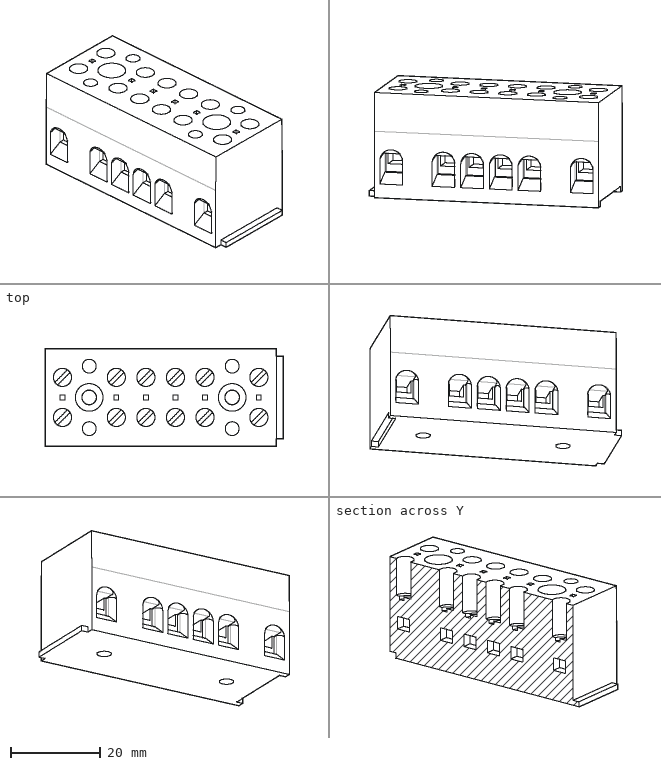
import cadquery as cq

overall_length = 53.5
tongue_length = 1.6
body_length = overall_length - tongue_length
body_width = 22.0
body_height = 24.0
parting_height = 15.2
draft_inset = 0.1

tongue_width = 18.55
tongue_height = 1.3

inner_terminal_offset = 3.3
terminal_pitch = 2 * inner_terminal_offset
end_terminal_offset = 22.05
mount_offset = 16.05
terminal_offsets = [
    inner_terminal_offset,
    inner_terminal_offset + terminal_pitch,
    end_terminal_offset,
]
terminal_xs = [body_length / 2 + side * offset for side in (-1, 1) for offset in terminal_offsets]
mount_xs = [body_length / 2 + side * mount_offset for side in (-1, 1)]

screw_hole_diameter = 4.05
screw_hole_y = 4.5
screw_slot_width = 0.85
screw_slot_depth = 0.8
screw_slot_angle = 45.0
test_hole_size = 1.05
test_hole_depth = 4.3
mount_hole_diameter = 3.2
counterbore_diameter = 6.2
top_hole_depth = body_height - parting_height
pin_hole_diameter = 3.1
pin_hole_y = 7.0
pin_hole_depth = 5.35

funnel_bottom = 3.2
funnel_top = 11.15
funnel_width = 5.25
funnel_back_width = 4.3
funnel_floor = 5.45
lip_radius = 1.0
funnel_ceiling = funnel_top - lip_radius
taper_depth = 2.7
funnel_depth = 3.8

wire_hole_width = 3.25
wire_hole_height = 2.9
wire_hole_depth = 4.3


def make_body():
    half_width = body_width / 2
    half_top = half_width - draft_inset
    section = [
        (-half_width, 0),
        (half_width, 0),
        (half_width, parting_height),
        (half_top, body_height),
        (-half_top, body_height),
        (-half_width, parting_height),
    ]
    return cq.Workplane("YZ").polyline(section).close().extrude(body_length)


def make_tongue(start_x):
    return cq.Workplane("XY").box(
        tongue_length, tongue_width, tongue_height, centered=(False, True, False)
    ).translate((start_x, 0, 0))


def top_cylinders(points, diameter, depth):
    """Round holes sunk from the top face."""
    top_face = cq.Workplane("XY", origin=(0, 0, body_height))
    return top_face.pushPoints(points).circle(diameter / 2).extrude(-depth)


def make_screw_slot(x, y):
    """Diagonal screwdriver slot, trimmed to the round screw head."""
    floor = cq.Workplane("XY", origin=(x, y, body_height - top_hole_depth))
    head = floor.circle(screw_hole_diameter / 2).extrude(-screw_slot_depth)
    tilted_floor = floor.transformed(rotate=(0, 0, screw_slot_angle))
    bar = tilted_floor.rect(screw_hole_diameter, screw_slot_width).extrude(-screw_slot_depth)
    return head.intersect(bar)


def make_wire_entry():
    """Funnel and wire hole on the -Y side, centred on X = 0."""
    face_y = -body_width / 2
    back_y = face_y + funnel_depth
    half_width = funnel_width / 2
    half_back = funnel_back_width / 2

    arch = (
        cq.Workplane("XZ", origin=(0, face_y, 0))
        .moveTo(-half_width, funnel_bottom)
        .lineTo(half_width, funnel_bottom)
        .lineTo(half_width, funnel_top - half_width)
        .threePointArc((0, funnel_top), (-half_width, funnel_top - half_width))
        .close()
        .extrude(-funnel_depth)
    )
    plan = (
        cq.Workplane("XY")
        .moveTo(-half_width, face_y)
        .lineTo(half_width, face_y)
        .lineTo(half_back, face_y + taper_depth)
        .lineTo(half_back, back_y)
        .lineTo(-half_back, back_y)
        .lineTo(-half_back, face_y + taper_depth)
        .close()
        .extrude(body_height)
    )
    profile = (
        cq.Workplane("YZ", origin=(-half_width, 0, 0))
        .moveTo(face_y, funnel_bottom)
        .lineTo(face_y + taper_depth, funnel_floor)
        .lineTo(back_y, funnel_floor)
        .lineTo(back_y, funnel_ceiling)
        .lineTo(face_y + lip_radius, funnel_ceiling)
        .radiusArc((face_y, funnel_top), lip_radius)
        .close()
        .extrude(funnel_width)
    )
    wire_hole = cq.Workplane("XY").box(
        wire_hole_width, wire_hole_depth, wire_hole_height, centered=(True, False, False)
    ).translate((0, back_y, funnel_ceiling - wire_hole_height))
    return arch.intersect(plan).intersect(profile).union(wire_hole)


result = make_body().union(make_tongue(body_length)).cut(make_tongue(0))

screw_points = [(x, side * screw_hole_y) for x in terminal_xs for side in (-1, 1)]
result = result.cut(top_cylinders(screw_points, screw_hole_diameter, top_hole_depth))
for x, y in screw_points:
    result = result.cut(make_screw_slot(x, y))

test_holes = (
    cq.Workplane("XY", origin=(0, 0, body_height))
    .pushPoints([(x, 0) for x in terminal_xs])
    .rect(test_hole_size, test_hole_size)
    .extrude(-test_hole_depth)
)
result = result.cut(test_holes)

mount_points = [(x, 0) for x in mount_xs]
pin_points = [(x, side * pin_hole_y) for x in mount_xs for side in (-1, 1)]
result = result.cut(top_cylinders(mount_points, mount_hole_diameter, body_height))
result = result.cut(top_cylinders(mount_points, counterbore_diameter, top_hole_depth))
result = result.cut(top_cylinders(pin_points, pin_hole_diameter, pin_hole_depth))

wire_entry = make_wire_entry()
for x in terminal_xs:
    entry = wire_entry.translate((x, 0, 0))
    result = result.cut(entry).cut(entry.mirror("XZ"))